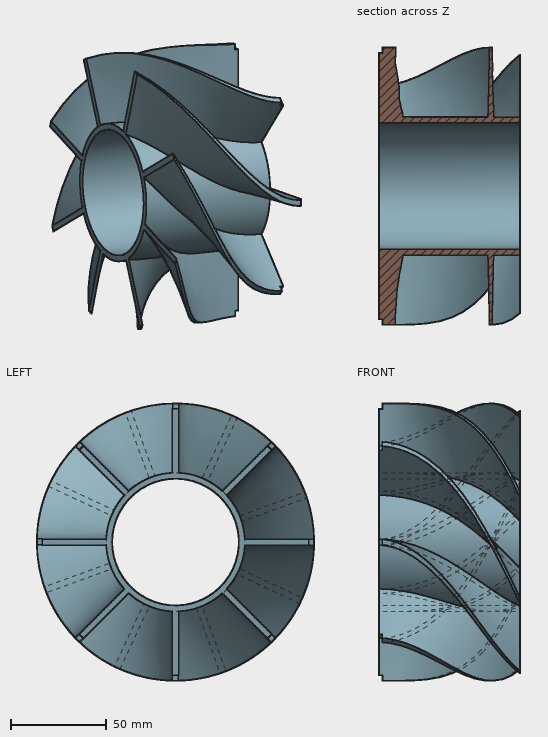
import cadquery as cq
import math

rotor_radius = 72.9
rotor_length = 74.2
hub_radius = 36.5
bore_radius = 33.2
blade_count = 8
blade_thickness = 3.2
total_twist = 70.0
twist_power = 1.9
notch_length = 1.9
notch_depth = 2.9

blade_root = (hub_radius + bore_radius) / 2
blade_reach = rotor_radius + 2.9
curve_points = 17


def x_cylinder(radius, length):
    return cq.Workplane("YZ").circle(radius).extrude(length)


def blade_edge(radial, offset):
    """Curve followed by one corner of the blade section as it twists along X."""
    points = []
    for i in range(curve_points):
        fraction = i / (curve_points - 1)
        angle = math.radians(total_twist) * fraction**twist_power
        y = offset * math.cos(angle) - radial * math.sin(angle)
        z = offset * math.sin(angle) + radial * math.cos(angle)
        points.append(cq.Vector(rotor_length * fraction, y, z))
    parameters = [i / (curve_points - 1) for i in range(curve_points)]
    return cq.Edge.makeSpline(points, parameters=parameters)


def twisted_blade():
    """Blade bounded by four ruled sides and two flat ends."""
    half = blade_thickness / 2
    corners = [(blade_root, -half), (blade_reach, -half), (blade_reach, half), (blade_root, half)]
    edges = [blade_edge(radial, offset) for radial, offset in corners]
    faces = [cq.Face.makeRuledSurface(edges[i - 1], edges[i]) for i in range(len(edges))]
    for end in (0, 1):
        outline = cq.Wire.makePolygon([edge.positionAt(end) for edge in edges], close=True)
        faces.append(cq.Face.makeFromWires(outline))
    blade = cq.Workplane(cq.Solid.makeSolid(cq.Shell.makeShell(faces)).fix())
    return blade.intersect(x_cylinder(rotor_radius, rotor_length))


def notch_ring():
    """Ring removed from the front outer corner of every blade."""
    return x_cylinder(blade_reach, notch_length).cut(
        x_cylinder(rotor_radius - notch_depth, notch_length)
    )


hub = x_cylinder(hub_radius, rotor_length).cut(x_cylinder(bore_radius, rotor_length))
blade = twisted_blade().cut(notch_ring())

result = hub
for i in range(blade_count):
    result = result.union(blade.rotate((0, 0, 0), (1, 0, 0), i * 360 / blade_count))